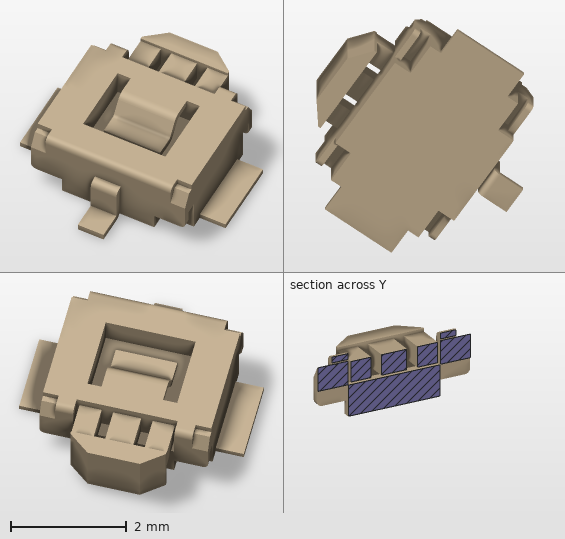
import cadquery as cq
import math

overall_length = 4.0
overall_depth = 3.85
height = 1.2
body_length = 3.0
body_depth = 2.5
sheet = 0.12

housing_top = height - sheet
chamfer_depth = 0.15
chamfer_drop = 0.25
recess_top = 0.6
recess_depth = 0.33
block_length = 1.8

corner_notch_length = 0.28
corner_notch_depth = 0.25
flap_bottom = 0.3
flap_corner_radius = 0.1
slot_floor = recess_top

window_length = 1.6
window_depth = 1.29
window_floor = 0.7
tab_length = 1.095
tab_bend_start = 0.35
tab_end = -0.355
tab_drop = 0.34
tab_angle = math.radians(55)
bend_inside_radius = 0.08

knob_length = 1.7
knob_tip_length = 0.93
knob_inner = 1.595
knob_shoulder = 1.645
knob_bottom = 0.1
knob_height = 1.0
stem_bottom = 0.64
stem_height = 0.395
middle_stem_length = 0.5
outer_stem_length = 0.395

terminal_depth = 1.4
terminal_thickness = 0.1
lead_width = 0.5
lead_tip = 1.9
lead_face = 1.415
lead_top = 0.73

half_length = body_length / 2
half_depth = body_depth / 2
knob_tip = overall_depth - lead_tip
slot_depth = corner_notch_depth


def block(x_range, y_range, z_range):
    """Rectangular block between pairs of limits."""
    size = [high - low for low, high in (x_range, y_range, z_range)]
    corner = (x_range[0], y_range[0], z_range[0])
    return cq.Workplane("XY").box(*size, centered=False).translate(corner)


def centred(length):
    """Limits of a length centred on zero."""
    return (-length / 2, length / 2)


def extrude_along_x(outline, length):
    """Extrude a closed YZ outline symmetrically about X = 0."""
    return outline.extrude(length / 2, both=True)


def both_sides(solid, plane):
    """Join a solid with its mirror image."""
    return solid.union(solid.mirror(plane))


def make_housing():
    outline = (
        cq.Workplane("YZ")
        .moveTo(-half_depth, 0)
        .lineTo(half_depth, 0)
        .lineTo(half_depth, housing_top - chamfer_drop)
        .lineTo(half_depth - chamfer_depth, housing_top)
        .lineTo(chamfer_depth - half_depth, housing_top)
        .lineTo(-half_depth, housing_top - chamfer_drop)
        .close()
    )
    housing = extrude_along_x(outline, body_length)
    recess = block(
        (block_length / 2, half_length),
        (half_depth - recess_depth, half_depth),
        (0, recess_top),
    )
    return housing.cut(both_sides(both_sides(recess, "YZ"), "XZ"))


def make_flap():
    """Rear flap of the cover: narrow at the top, with two wings as wide as the body below."""
    thickness = (half_depth - sheet, half_depth)
    wings = block(centred(body_length), thickness, (flap_bottom, recess_top))
    wings = wings.edges("|Y and <Z").fillet(flap_corner_radius)
    upper_length = body_length - 2 * corner_notch_length
    upper = block(centred(upper_length), thickness, (recess_top, housing_top))
    return wings.union(upper)


def make_cover():
    plate = block(centred(body_length), centred(body_depth), (housing_top, height))
    notch = block(
        (half_length - corner_notch_length, half_length),
        (half_depth - corner_notch_depth, half_depth),
        (housing_top, height),
    )
    plate = plate.cut(both_sides(both_sides(notch, "YZ"), "XZ"))
    cover = plate.union(both_sides(make_flap(), "XZ"))
    bend_edges = cover.edges("|X and >Z").edges("<Y or >Y")
    return bend_edges.fillet(sheet)


def make_tab():
    """Sheet tab that bends down from the cover plane and then runs level to its free end."""
    sine = math.sin(tab_angle)
    cosine = math.cos(tab_angle)
    outside_radius = bend_inside_radius + sheet
    bends_drop = (outside_radius + bend_inside_radius) * (1 - cosine)
    slope_length = (tab_drop - bends_drop) / sine

    upper_centre_z = height - outside_radius

    def upper_bend_end(radius):
        return (tab_bend_start - radius * sine, upper_centre_z + radius * cosine)

    bend_top = upper_bend_end(outside_radius)
    bend_under = upper_bend_end(outside_radius - sheet)
    slope_top = (bend_top[0] - slope_length * cosine, bend_top[1] - slope_length * sine)
    slope_under = (bend_under[0] - slope_length * cosine, bend_under[1] - slope_length * sine)
    lower_centre_y = slope_top[0] - bend_inside_radius * sine
    level_top = height - tab_drop

    outline = (
        cq.Workplane("YZ")
        .moveTo(window_depth / 2, height)
        .lineTo(tab_bend_start, height)
        .radiusArc(bend_top, -outside_radius)
        .lineTo(*slope_top)
        .radiusArc((lower_centre_y, level_top), bend_inside_radius)
        .lineTo(tab_end, level_top)
        .lineTo(tab_end, level_top - sheet)
        .lineTo(lower_centre_y, level_top - sheet)
        .radiusArc(slope_under, -outside_radius)
        .lineTo(*bend_under)
        .radiusArc((tab_bend_start, housing_top), bend_inside_radius)
        .lineTo(window_depth / 2, housing_top)
        .close()
    )
    return extrude_along_x(outline, tab_length)


def make_knob():
    knob = (
        cq.Workplane("XY", origin=(0, 0, knob_bottom))
        .moveTo(-knob_length / 2, knob_inner)
        .lineTo(-knob_length / 2, knob_shoulder)
        .lineTo(-knob_tip_length / 2, knob_tip)
        .lineTo(knob_tip_length / 2, knob_tip)
        .lineTo(knob_length / 2, knob_shoulder)
        .lineTo(knob_length / 2, knob_inner)
        .close()
        .extrude(knob_height)
    )
    stem_y = (half_depth - slot_depth, knob_inner)
    stem_z = (stem_bottom, stem_bottom + stem_height)
    outer_stem = block((knob_length / 2 - outer_stem_length, knob_length / 2), stem_y, stem_z)
    middle_stem = block(centred(middle_stem_length), stem_y, stem_z)
    return knob.union(middle_stem).union(both_sides(outer_stem, "YZ"))


def make_front_lead():
    """Z-shaped lead: out of the body, down, then forward along the ground."""
    outline = (
        cq.Workplane("YZ")
        .moveTo(-half_depth, lead_top)
        .lineTo(sheet - lead_face, lead_top)
        .radiusArc((-lead_face, lead_top - sheet), -sheet)
        .lineTo(-lead_face, sheet)
        .lineTo(-lead_tip, sheet)
        .lineTo(-lead_tip, 0)
        .lineTo(-lead_face, 0)
        .radiusArc((sheet - lead_face, sheet), -sheet)
        .lineTo(sheet - lead_face, lead_top - sheet)
        .lineTo(-half_depth, lead_top - sheet)
        .close()
    )
    return extrude_along_x(outline, lead_width)


knob_slot = block(
    centred(block_length),
    (half_depth - slot_depth, half_depth),
    (slot_floor, height),
)
window = block(centred(window_length), centred(window_depth), (window_floor, height))
side_terminals = block(centred(overall_length), centred(terminal_depth), (0, terminal_thickness))

result = (
    make_housing()
    .union(make_cover())
    .cut(knob_slot)
    .cut(window)
    .union(make_tab())
    .union(make_knob())
    .union(make_front_lead())
    .union(side_terminals)
)